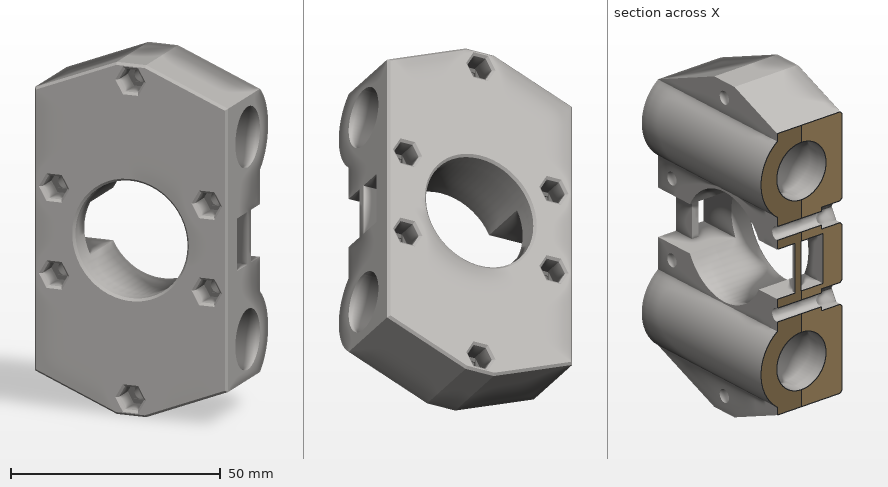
import cadquery as cq
import math

width = 50.0
height = 87.0
front_depth = 12.5
rear_depth = 7.5
top_flat = 7.6
edge_chamfer = 0.6

rod_bore_diameter = 15.0
rod_spacing = 50.0
shell_thickness = 5.0
shell_radius = rod_bore_diameter / 2 + shell_thickness
shell_half_chord = math.sqrt(shell_radius**2 - rear_depth**2)
shoulder_z = rod_spacing / 2 + shell_half_chord

center_hole_diameter = 29.0
center_hole_chamfer = 0.6

channel_height = 13.0
front_channel_depth = 6.5
rear_web = 2.0
web_length = 6.0

screw_diameter = 3.5
nut_diameter = 6.5
nut_flats = nut_diameter * math.cos(math.pi / 6)
nut_pocket_depth = 6.0
nut_chamfer = 0.6
bridge_step = 0.3
end_screw_z = 39.25
side_screw_x = 19.75
side_screw_z = 10.75
screw_places = [(0, end_screw_z), (0, -end_screw_z)]
for side_x in (-side_screw_x, side_screw_x):
    for side_z in (-side_screw_z, side_screw_z):
        screw_places.append((side_x, side_z))


def plane_at(y, x=0, z=0):
    """Workplane parallel to XZ whose normal points along +Y; local coordinates are (x, -z)."""
    return cq.Workplane(cq.Plane(origin=(x, y, z), xDir=(1, 0, 0), normal=(0, 1, 0)))


def block(y_start, y_end):
    """Plate with tapered top and bottom ends, between two Y positions."""
    outline = [
        (-width / 2, -shoulder_z),
        (-top_flat / 2, -height / 2),
        (top_flat / 2, -height / 2),
        (width / 2, -shoulder_z),
        (width / 2, shoulder_z),
        (top_flat / 2, height / 2),
        (-top_flat / 2, height / 2),
        (-width / 2, shoulder_z),
    ]
    return plane_at(y_start).polyline(outline).close().extrude(y_end - y_start)


def rod_cylinders(radius):
    """Two cylinders along X on the bore axes."""
    centers = [(0, -rod_spacing / 2), (0, rod_spacing / 2)]
    start = cq.Workplane("YZ").workplane(offset=-width / 2)
    return start.pushPoints(centers).circle(radius).extrude(width)


def channel(y_start, y_end, length=width):
    """Rectangular channel along X, centred on the part and through the full width by default."""
    return cq.Workplane("XY").box(length, y_end - y_start, channel_height).translate(
        (0, (y_start + y_end) / 2, 0)
    )


def center_hole():
    """Central hole through both bodies."""
    total_depth = front_depth + rear_depth
    return plane_at(-front_depth).circle(center_hole_diameter / 2).extrude(total_depth)


def center_hole_countersink():
    """Chamfer of the central hole at the front face."""
    hole_radius = center_hole_diameter / 2
    mouth = plane_at(-front_depth).circle(hole_radius + center_hole_chamfer)
    return mouth.workplane(offset=center_hole_chamfer).circle(hole_radius).loft()


def screw_holes(y_start, y_end):
    """Round screw holes between two Y positions."""
    local_places = [(x, -z) for x, z in screw_places]
    return plane_at(y_start).pushPoints(local_places).circle(screw_diameter / 2).extrude(y_end - y_start)


def nut_pocket(x, z):
    """Chamfered hexagonal pocket, then two stepped layers that narrow to the screw hole."""
    mouth_diameter = nut_diameter + 2 * nut_chamfer / math.cos(math.pi / 6)
    floor_y = -front_depth + nut_pocket_depth
    hexagon = plane_at(-front_depth, x, z).polygon(6, nut_diameter).extrude(nut_pocket_depth)
    mouth = (
        plane_at(-front_depth, x, z)
        .polygon(6, mouth_diameter)
        .workplane(offset=nut_chamfer)
        .polygon(6, nut_diameter)
        .loft()
    )
    slot_layer = plane_at(floor_y, x, z).rect(screw_diameter, nut_flats).extrude(bridge_step)
    square_layer = plane_at(floor_y, x, z).rect(screw_diameter, screw_diameter).extrude(2 * bridge_step)
    return hexagon.union(mouth).union(slot_layer).union(square_layer)


def make_front_half():
    """Front half with the nut pockets and half of each bearing bore."""
    body = block(-front_depth, 0).faces("<Y").chamfer(edge_chamfer)
    body = body.cut(rod_cylinders(rod_bore_diameter / 2))
    body = body.cut(channel(-front_channel_depth, 0))
    body = body.cut(center_hole()).cut(center_hole_countersink())
    body = body.cut(screw_holes(-front_depth, 0))
    for x, z in screw_places:
        body = body.cut(nut_pocket(x, z))
    return body


def make_rear_half():
    """Rear half with round shells around the bearing bores and a thin web at each end of the channel."""
    shells = rod_cylinders(shell_radius).intersect(block(0, shell_radius))
    body = block(0, rear_depth).union(shells)
    body = body.cut(rod_cylinders(rod_bore_diameter / 2))
    body = body.cut(channel(rear_web, rear_depth))
    body = body.cut(channel(0, rear_web, width - 2 * web_length))
    body = body.cut(center_hole())
    body = body.cut(screw_holes(0, shell_radius))
    return body


front_half = make_front_half()
rear_half = make_rear_half()

result = cq.Compound.makeCompound([front_half.val(), rear_half.val()])